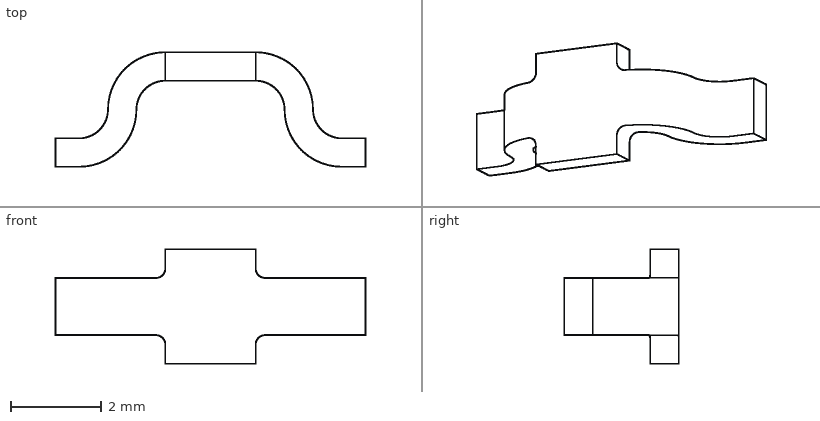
import cadquery as cq
import math

length = 6.86
depth = 2.54
plate_width = 2.0
plate_height = 2.54
strip_height = 1.27
corner_radius = 0.205

outer_radius = depth / 2
thickness = depth / 4
inner_radius = outer_radius - thickness

half_length = length / 2
half_plate = plate_width / 2
front_y = -depth / 2
back_y = depth / 2
foot_bend_x = half_plate + outer_radius + inner_radius


def arc_point(center_x, radius, angle):
    """Point on a bend; every bend centre lies at mid depth, Y = 0."""
    turn = math.radians(angle)
    return (center_x + radius * math.cos(turn), radius * math.sin(turn))


def half_bracket():
    """Right half of the bent strip, seen along Z, at full plate height."""
    return (
        cq.Workplane("XY", origin=(0, 0, -plate_height / 2))
        .moveTo(0, back_y)
        .lineTo(half_plate, back_y)
        .threePointArc(
            arc_point(half_plate, outer_radius, 45), arc_point(half_plate, outer_radius, 0)
        )
        .threePointArc(
            arc_point(foot_bend_x, inner_radius, 225), arc_point(foot_bend_x, inner_radius, 270)
        )
        .lineTo(half_length, front_y + thickness)
        .lineTo(half_length, front_y)
        .lineTo(foot_bend_x, front_y)
        .threePointArc(
            arc_point(foot_bend_x, outer_radius, 225), arc_point(foot_bend_x, outer_radius, 180)
        )
        .threePointArc(
            arc_point(half_plate, inner_radius, 45), arc_point(half_plate, inner_radius, 90)
        )
        .lineTo(0, back_y - thickness)
        .close()
        .extrude(plate_height)
    )


def front_outline():
    """Tall plate crossing the low strip, with the four inner corners filleted."""
    plate = cq.Workplane("XY").box(plate_width, depth, plate_height)
    strip = cq.Workplane("XY").box(length, depth, strip_height)
    reach = cq.Vector(
        half_plate + corner_radius, depth, strip_height / 2 + corner_radius
    )
    corner_zone = cq.selectors.BoxSelector((reach * -1).toTuple(), reach.toTuple())
    inner_corners = cq.selectors.ParallelDirSelector(cq.Vector(0, 1, 0)) & corner_zone
    return plate.union(strip).edges(inner_corners).fillet(corner_radius)


right_half = half_bracket()
bent_strip = right_half.union(right_half.mirror("YZ"))
result = bent_strip.intersect(front_outline())